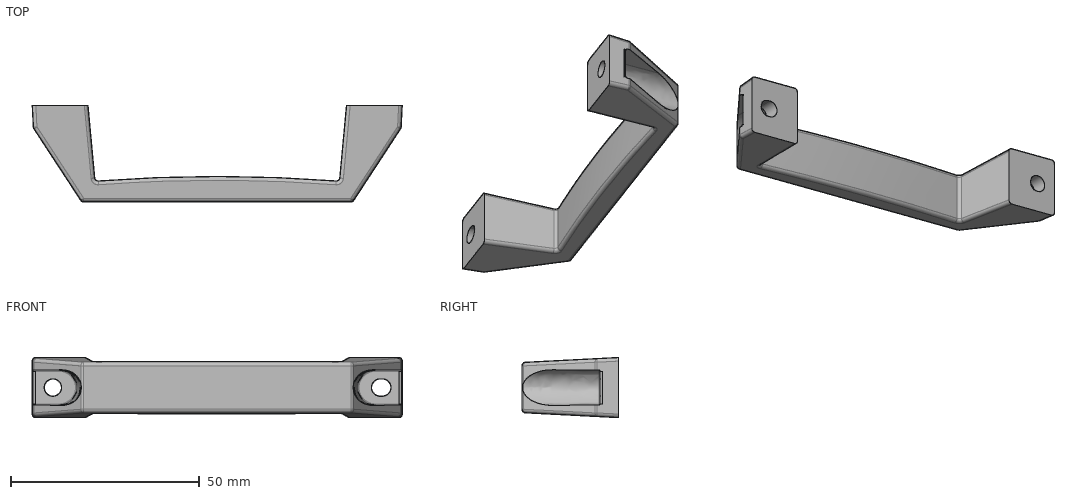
import cadquery as cq

length = 98.0
depth = 25.6
back_height = 16.0
front_height = 13.3

fold_x = 0.3
fold_y = 19.6
front_corner_x = 13.1
foot_width = 14.8
inner_corner_x = 16.7
inner_corner_y = 5.5
grip_thickness = 6.8
corner_radius = 0.9
edge_radius = 1.0

floor_y = 20.7
floor_radius = 4.6
floor_tip_x = 11.8
mouth_radius = 4.8
mouth_tip_x = 13.0
pocket_fillet = 0.3
lip_radius = 0.6
overrun = 4.9

hole_diameter = 4.5
hole_x = 5.5
slot_length = 5.1
slot_x = length - 5.6


def xz_plane(y):
    """Plane at the given y with local axes X and Z, extruding toward -Y."""
    return cq.Workplane("XZ", origin=(0, y, 0))


def make_body():
    outline = (
        cq.Workplane("XY")
        .moveTo(0, depth)
        .lineTo(fold_x, fold_y)
        .lineTo(front_corner_x, 0)
        .lineTo(length - front_corner_x, 0)
        .lineTo(length - fold_x, fold_y)
        .lineTo(length, depth)
        .lineTo(length - foot_width, depth)
        .lineTo(length - inner_corner_x, inner_corner_y)
        .threePointArc((length / 2, grip_thickness), (inner_corner_x, inner_corner_y))
        .lineTo(foot_width, depth)
        .close()
    )
    bow = outline.extrude(back_height / 2, both=True)
    bow = bow.edges("|Z").edges("not(>Y)").fillet(corner_radius)
    taper = (
        cq.Workplane("YZ")
        .polyline([
            (0, -front_height / 2),
            (depth, -back_height / 2),
            (depth, back_height / 2),
            (0, front_height / 2),
        ])
        .close()
        .extrude(length)
    )
    body = bow.intersect(taper)
    rims = body.faces(">Z or <Z").edges().edges("not(>Y)")
    return rims.fillet(edge_radius)


def pocket_section(plane, tip_x, radius):
    """Draw a U that is open past the outer wall and round toward the grip."""
    center_x = tip_x - radius
    return (
        plane.moveTo(-overrun, -radius)
        .lineTo(center_x, -radius)
        .threePointArc((tip_x, 0), (center_x, radius))
        .lineTo(-overrun, radius)
        .close()
    )


def make_pocket():
    sections = pocket_section(xz_plane(floor_y), floor_tip_x, floor_radius)
    sections = pocket_section(sections.workplane(offset=floor_y), mouth_tip_x, mouth_radius)
    return sections.loft(combine=True).faces(">Y").edges("not(<X)").fillet(pocket_fillet)


def make_lip(wall_x):
    """Material removed to round the pocket floor into the outer wall."""
    width = 2 * (floor_radius - pocket_fillet)
    return (
        cq.Workplane("XY", origin=(0, 0, -width / 2))
        .moveTo(-overrun, floor_y)
        .lineTo(wall_x + lip_radius, floor_y)
        .radiusArc((wall_x, floor_y + lip_radius), -lip_radius)
        .lineTo(-overrun, floor_y + lip_radius)
        .close()
        .extrude(width)
    )


pocket = make_pocket().union(make_lip(fold_x * (depth - floor_y) / (depth - fold_y)))
mirrored_pocket = pocket.mirror("YZ").translate((length, 0, 0))

hole = xz_plane(depth).center(hole_x, 0).circle(hole_diameter / 2).extrude(depth)
slot = xz_plane(depth).center(slot_x, 0).slot2D(slot_length, hole_diameter).extrude(depth)

result = make_body().cut(pocket).cut(mirrored_pocket).cut(hole).cut(slot)